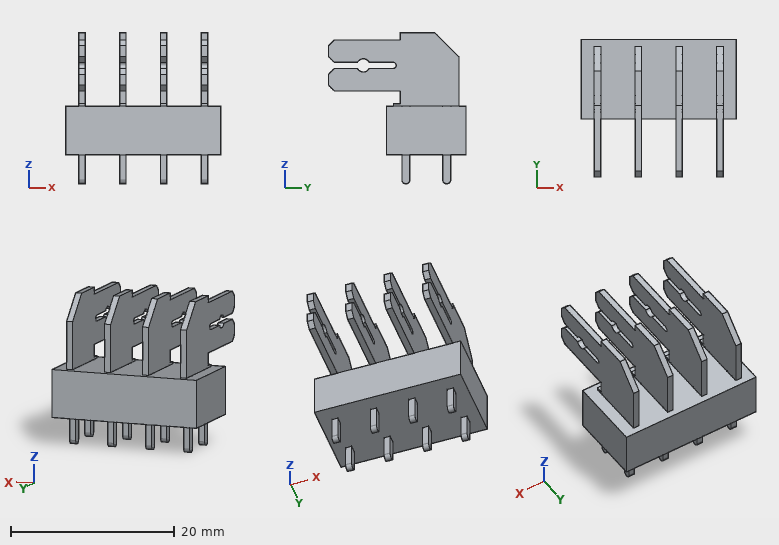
import cadquery as cq

housing_length = 19.0
housing_depth = 9.75
housing_height = 5.98

terminal_count = 4
terminal_pitch = 5.0
terminal_thickness = 0.8

foot_depth = 8.05
foot_height = 0.28
foot_step = 0.82

plate_height = 8.99
plate_chamfer = 3.0

tab_drop = 0.87
tab_width = 6.27
tab_reach = 7.1
tip_chamfer = 0.72
slot_width = 0.75
slot_depth = 8.28
slot_end_radius = slot_width / 2
hole_diameter = 1.6
hole_setback = 4.28

tail_spacing = 5.0
tail_width = 1.0
tail_length = 3.53

front_face = -housing_depth / 2
plate_back = foot_depth / 2
foot_front = -foot_depth / 2
plate_front = foot_front + foot_step
terminal_top = housing_height + plate_height
tab_top = terminal_top - tab_drop
tab_bottom = tab_top - tab_width
tab_middle = (tab_top + tab_bottom) / 2
tab_tip = front_face - tab_reach
tail_places = [-tail_spacing / 2, tail_spacing / 2]
terminal_places = [
    (index - (terminal_count - 1) / 2) * terminal_pitch for index in range(terminal_count)
]


def side_sketch(x_center):
    """Workplane for (Y, Z) outlines on the -X face of a terminal."""
    return cq.Workplane("YZ", origin=(x_center - terminal_thickness / 2, 0, 0))


def make_plate_and_tab(x_center):
    """Foot, upright plate and tab in one outline, before the fork is cut."""
    outline = [
        (plate_back, housing_height),
        (plate_back, terminal_top - plate_chamfer),
        (plate_back - plate_chamfer, terminal_top),
        (plate_front, terminal_top),
        (plate_front, tab_top),
        (tab_tip, tab_top),
        (tab_tip, tab_bottom),
        (plate_front, tab_bottom),
        (plate_front, housing_height + foot_height),
        (foot_front, housing_height + foot_height),
        (foot_front, housing_height),
    ]
    return side_sketch(x_center).polyline(outline).close().extrude(terminal_thickness)


def make_fork_opening(x_center):
    """Round-ended slot, open at the tab tip, with a round hole part way along it."""
    slot_end = tab_tip + slot_depth
    arc_start = slot_end - slot_end_radius
    slot = (
        side_sketch(x_center)
        .moveTo(tab_tip, tab_middle - slot_width / 2)
        .lineTo(arc_start, tab_middle - slot_width / 2)
        .threePointArc((slot_end, tab_middle), (arc_start, tab_middle + slot_width / 2))
        .lineTo(tab_tip, tab_middle + slot_width / 2)
        .close()
        .extrude(terminal_thickness)
    )
    hole = (
        side_sketch(x_center)
        .center(tab_tip + hole_setback, tab_middle)
        .circle(hole_diameter / 2)
        .extrude(terminal_thickness)
    )
    return slot.union(hole)


def make_tail(x_center, y_center):
    """Straight tail with a half-round lower end."""
    radius = tail_width / 2
    round_start = radius - tail_length
    return (
        side_sketch(x_center)
        .moveTo(y_center - radius, housing_height)
        .lineTo(y_center - radius, round_start)
        .threePointArc((y_center, -tail_length), (y_center + radius, round_start))
        .lineTo(y_center + radius, housing_height)
        .close()
        .extrude(terminal_thickness)
    )


def make_terminal(x_center):
    """One flat terminal: forked tab, plate, foot and two tails."""
    terminal = make_plate_and_tab(x_center).cut(make_fork_opening(x_center))
    terminal = terminal.faces("<Y").edges("|X").chamfer(tip_chamfer)
    for y_center in tail_places:
        terminal = terminal.union(make_tail(x_center, y_center))
    return terminal


def make_housing():
    """Block with a rectangular through hole for every tail."""
    block = cq.Workplane("XY").box(
        housing_length, housing_depth, housing_height, centered=(True, True, False)
    )
    tail_holes = (
        cq.Workplane("XY")
        .pushPoints([(x, y) for x in terminal_places for y in tail_places])
        .rect(terminal_thickness, tail_width)
        .extrude(housing_height)
    )
    return block.cut(tail_holes)


housing = make_housing()
terminals = [make_terminal(x_center) for x_center in terminal_places]

terminal_solids = [terminal.solids().val() for terminal in terminals]

result = cq.Compound.makeCompound([housing.solids().val(), *terminal_solids])